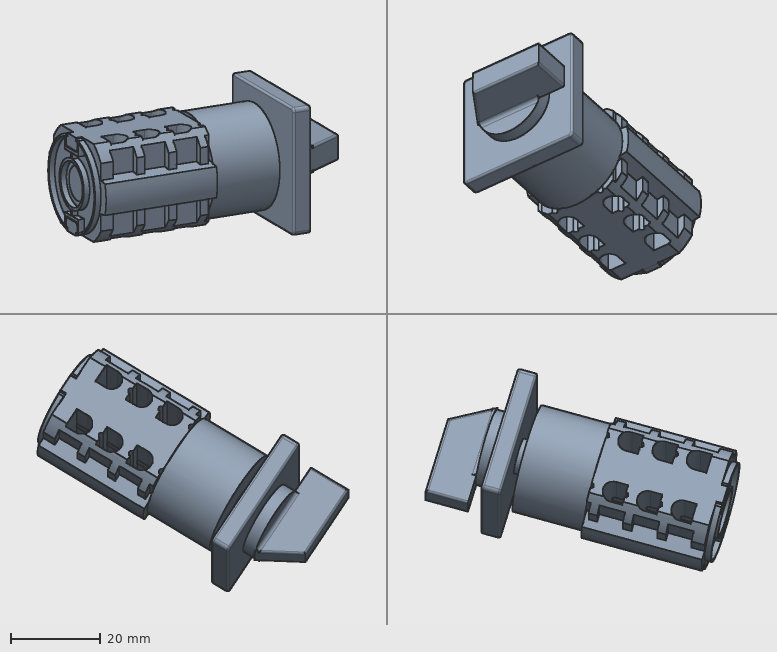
import cadquery as cq
import math


TOTAL_LENGTH = 65.5
CAP_DEPTH = 1.45
BLOCK_LENGTH = 28.05
COLLAR_LENGTH = 16.6
PLATE_GAP = 2.0
PLATE_DEPTH = 4.5
DISC_DEPTH = 3.0
BLOCK_FRONT = CAP_DEPTH + BLOCK_LENGTH
COLLAR_FRONT = BLOCK_FRONT + COLLAR_LENGTH
PLATE_REAR = COLLAR_FRONT + PLATE_GAP
PLATE_FRONT = PLATE_REAR + PLATE_DEPTH
DISC_FRONT = PLATE_FRONT + DISC_DEPTH
HANDLE_DEPTH = TOTAL_LENGTH - DISC_FRONT

SHAFT_RADIUS = 4.05
PLATE_SIDE = 30.0
PLATE_CORNER = 1.0
EDGE_ROUND = 0.5
DISC_RADIUS = 8.8
HANDLE_WIDTH = 6.15
HANDLE_SLOPE = 30.0
ROOT_FILLET = 1.0

COLLAR_RADIUS = 12.4
BLOCK_RADIUS = 14.0
BLOCK_HALF = 11.5
LOBE_TIP_HALF = 3.7
LOBE_ROOT_HALF = 4.0
POCKET_FLOOR = 9.75

MODULE_COUNT = 3
MODULE_PITCH = 8.0
TOOTH_START = 1.0
TOOTH_LENGTH = 2.0
OPENING_WIDTH = 4.7
OPENING_LENGTH = 5.2
OPENING_OFFSET = 6.2
NOTCH_RADIUS = 0.65

CAP_RADIUS = BLOCK_HALF
RIM_INNER_RADIUS = 11.0
HUB_RADIUS = 6.0
HUB_BORE_RADIUS = 5.3
RIB_WIDTH = 0.6
FRAME_WIDTH = 6.55
FRAME_BOTTOM = 7.4
TAB_GAP = 0.2
TAB_WIDTH = 5.3
TAB_NECK_WIDTH = 4.1
TAB_BOTTOM = 8.4
TAB_SHOULDER = 10.75
TAB_CORNER = 0.65

SIDES = (-1, 1)
OVERLAP = 0.65


def section_at(y):
    """Workplane across the axis, extruding toward +Y."""
    return cq.Workplane(cq.Plane((0, y, 0), (1, 0, 0), (0, 1, 0)))


def cylinder(radius, rear, front):
    return section_at(rear).circle(radius).extrude(front - rear)


def box(x_range, y_range, z_range):
    """Axis-aligned box between pairs of limits."""
    size = [high - low for low, high in (x_range, y_range, z_range)]
    corner = [low for low, high in (x_range, y_range, z_range)]
    return cq.Workplane("XY").box(*size, centered=False).translate(tuple(corner))


def terminal_openings():
    """Round-topped openings through Z, one per side in each module."""
    radius = OPENING_WIDTH / 2
    cutters = cq.Workplane("XY")
    for module in range(1, MODULE_COUNT + 1):
        flat_end = BLOCK_FRONT - module * MODULE_PITCH
        arc_start = flat_end + OPENING_LENGTH - radius
        for side in SIDES:
            centre = side * OPENING_OFFSET
            opening = (
                cq.Workplane("XY")
                .moveTo(centre - radius, flat_end)
                .lineTo(centre + radius, flat_end)
                .lineTo(centre + radius, arc_start)
                .threePointArc((centre, arc_start + radius), (centre - radius, arc_start))
                .close()
                .extrude(BLOCK_HALF, both=True)
            )
            cutters = cutters.add(opening)
    return cutters.combine()


def screw_notches():
    """Half-round notches through Z at the front face of each module."""
    centres = [
        (side * OPENING_OFFSET, BLOCK_FRONT - module * MODULE_PITCH)
        for module in range(MODULE_COUNT)
        for side in SIDES
    ]
    return (
        cq.Workplane("XY").pushPoints(centres).circle(NOTCH_RADIUS).extrude(BLOCK_HALF, both=True)
    )


def lobe_section():
    """Outline of the two side lobes, slightly tapered, reaching past the block's round."""
    lobe_tip = math.sqrt(BLOCK_RADIUS**2 - LOBE_TIP_HALF**2)
    taper = (LOBE_ROOT_HALF - LOBE_TIP_HALF) / (lobe_tip - BLOCK_HALF)
    outer = BLOCK_RADIUS + OVERLAP
    outer_half = LOBE_TIP_HALF - taper * (outer - lobe_tip)
    centre_half = LOBE_ROOT_HALF + taper * BLOCK_HALF
    return [
        (-outer, -outer_half),
        (0, -centre_half),
        (outer, -outer_half),
        (outer, outer_half),
        (0, centre_half),
        (-outer, outer_half),
    ]


def contact_block():
    """Rounded square with toothed side pockets above and below the lobes."""
    square = 2 * BLOCK_HALF
    toothed = section_at(CAP_DEPTH).rect(square, square).extrude(BLOCK_LENGTH)
    for gap in range(MODULE_COUNT + 1):
        pocket_rear = BLOCK_FRONT - TOOTH_START - gap * MODULE_PITCH
        pocket_front = pocket_rear + MODULE_PITCH - TOOTH_LENGTH
        for side in SIDES:
            x_range = sorted((side * POCKET_FLOOR, side * (BLOCK_HALF + OVERLAP)))
            y_range = (pocket_rear, pocket_front)
            toothed = toothed.cut(box(x_range, y_range, (-BLOCK_HALF, BLOCK_HALF)))
    lobes = section_at(CAP_DEPTH).polyline(lobe_section()).close().extrude(BLOCK_LENGTH)
    round_envelope = cylinder(BLOCK_RADIUS, CAP_DEPTH, BLOCK_FRONT)
    return toothed.union(lobes).intersect(round_envelope).cut(screw_notches())


def tab_section(side, gap):
    """Stepped tab outline on one side of the axis, grown outward by gap."""
    half = TAB_WIDTH / 2 + gap
    neck_half = TAB_NECK_WIDTH / 2 + gap
    bottom = TAB_BOTTOM - gap
    shoulder = TAB_SHOULDER + gap
    body = box((-half, half), (0, CAP_DEPTH), (bottom, shoulder))
    body = body.edges("|Y and <Z").fillet(TAB_CORNER)
    neck = box((-neck_half, neck_half), (0, CAP_DEPTH), (shoulder - OVERLAP, BLOCK_HALF))
    tab = body.union(neck)
    return tab if side > 0 else tab.mirror("XY")


def rear_cap():
    """Rim, hub, ribs and framed tabs standing on the rear face of the block."""
    disc = cylinder(CAP_RADIUS, 0, CAP_DEPTH)
    cap = disc.cut(cylinder(RIM_INNER_RADIUS, 0, CAP_DEPTH))
    cap = cap.union(cylinder(HUB_RADIUS, 0, CAP_DEPTH))
    for side in SIDES:
        rib_z = sorted((side * HUB_BORE_RADIUS, side * TAB_BOTTOM))
        rib = box((-RIB_WIDTH / 2, RIB_WIDTH / 2), (0, CAP_DEPTH), rib_z)
        frame_z = sorted((side * FRAME_BOTTOM, side * CAP_RADIUS))
        frame = box((-FRAME_WIDTH / 2, FRAME_WIDTH / 2), (0, CAP_DEPTH), frame_z).intersect(disc)
        cap = cap.union(rib).union(frame)
    for side in SIDES:
        cap = cap.cut(tab_section(side, TAB_GAP)).union(tab_section(side, 0))
    return cap.cut(cylinder(HUB_BORE_RADIUS, 0, CAP_DEPTH))


def make_housing():
    collar = cylinder(COLLAR_RADIUS, BLOCK_FRONT, COLLAR_FRONT)
    shaft_bore = cylinder(SHAFT_RADIUS, CAP_DEPTH, COLLAR_FRONT)
    body = contact_block().union(collar).union(rear_cap())
    return body.cut(shaft_bore).cut(terminal_openings())


def mounting_plate():
    plate = section_at(PLATE_REAR).rect(PLATE_SIDE, PLATE_SIDE).extrude(PLATE_DEPTH)
    plate = plate.edges("|Y").fillet(PLATE_CORNER)
    return plate.faces("<Y or >Y").edges().fillet(EDGE_ROUND)


def handle():
    """Pointer handle, sloped on one end, with fillets where it meets the disc."""
    overhang = PLATE_SIDE / 2
    slope_run = HANDLE_DEPTH * math.tan(math.radians(HANDLE_SLOPE))
    side_outline = [
        (-overhang, DISC_FRONT),
        (DISC_RADIUS, DISC_FRONT),
        (DISC_RADIUS - slope_run, TOTAL_LENGTH),
        (-overhang, TOTAL_LENGTH),
    ]
    grip = cq.Workplane("XY").polyline(side_outline).close().extrude(HANDLE_WIDTH / 2, both=True)
    grip = grip.faces("<Z or >Z").edges("not(<Y)").fillet(EDGE_ROUND)

    root_half = HANDLE_WIDTH / 2 + ROOT_FILLET
    root_top = DISC_FRONT + ROOT_FILLET
    root = box((-DISC_RADIUS, DISC_RADIUS), (DISC_FRONT, root_top), (-root_half, root_half))
    for side in SIDES:
        hollow = (
            cq.Workplane("YZ", origin=(-DISC_RADIUS, 0, 0))
            .center(root_top, side * root_half)
            .circle(ROOT_FILLET)
            .extrude(2 * DISC_RADIUS)
        )
        root = root.cut(hollow)
    slope_limit = cq.Workplane("XY").polyline(side_outline).close().extrude(root_half, both=True)
    root = root.intersect(cylinder(DISC_RADIUS, DISC_FRONT, root_top)).intersect(slope_limit)
    return grip.union(root)


def make_operator():
    """Handle, disc, plate and shaft; the terminal openings graze the shaft's sides."""
    shaft = cylinder(SHAFT_RADIUS, CAP_DEPTH, PLATE_REAR).cut(terminal_openings())
    disc = cylinder(DISC_RADIUS, PLATE_FRONT, DISC_FRONT)
    return shaft.union(mounting_plate()).union(disc).union(handle())


housing = make_housing()
operator = make_operator()
result = cq.Compound.makeCompound([housing.val(), operator.val()])